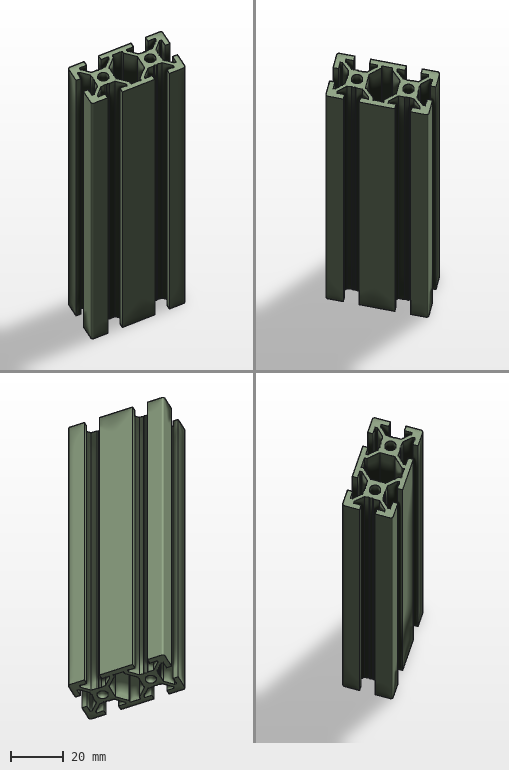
import cadquery as cq
import math

length = 140.0
cell = 20.0
half_cell = cell / 2
wall = 2.1
slot_width = 6.2
cavity_width = 12.2
core_size = 8.0
bore_diameter = 4.2
web_thickness = 1.4
corner_radius = 1.0

notch_depth = 0.24
inner_notch_edge = -0.5
inner_notch_bottom = -0.07
notch_ridge = 0.7
outer_notch_bottom = 1.3
outer_notch_edge = 2.5

wall_inside = half_cell - wall
core_half = core_size / 2
web_offset = web_thickness / math.sqrt(2)
upper_cell_center = (0, half_cell)
lower_cell_center = (0, -half_cell)


def prism(points):
    """Closed outline extruded over the full length."""
    return cq.Workplane("XY").polyline(points).close().extrude(length)


def slot_space(angle):
    """Empty space of one T-slot of the upper cell; it opens toward +X turned by angle degrees."""
    cavity_half = cavity_width / 2
    mouth_half = slot_width / 2
    upper_side = [
        (core_half, core_half - web_offset),
        (cavity_half + web_offset, cavity_half),
        (wall_inside, cavity_half),
        (wall_inside, mouth_half),
        (half_cell, mouth_half),
    ]
    lower_side = [(x, -y) for x, y in reversed(upper_side)]
    notch_bottom = core_half - notch_depth
    floor = [
        (core_half, inner_notch_edge),
        (notch_bottom, inner_notch_bottom),
        (core_half, notch_ridge),
        (notch_bottom, outer_notch_bottom),
        (core_half, outer_notch_edge),
    ]
    space = prism(upper_side + lower_side + floor)
    return space.rotate((0, 0, 0), (0, 0, 1), angle).translate(upper_cell_center)


def middle_space():
    """Closed channel between the two cores, with a small ledge where each web meets the wall."""
    core_face = half_cell - core_half
    core_face_half = core_half - web_offset
    ledge_start = half_cell - web_offset - wall
    right_side = [
        (core_face_half, -core_face),
        (ledge_start, -wall),
        (wall_inside, -wall),
        (wall_inside, wall),
        (ledge_start, wall),
        (core_face_half, core_face),
    ]
    left_side = [(-x, y) for x, y in reversed(right_side)]
    return prism(right_side + left_side)


bar = cq.Workplane("XY").rect(cell, 2 * cell).extrude(length).edges("|Z").fillet(corner_radius)

for angle in (0, 90, 180):
    slot = slot_space(angle)
    bar = bar.cut(slot)
    bar = bar.cut(slot.mirror("XZ"))

bar = bar.cut(middle_space())
bore_centers = cq.Workplane("XY").pushPoints([lower_cell_center, upper_cell_center])
bores = bore_centers.circle(bore_diameter / 2).extrude(length)
result = bar.cut(bores)